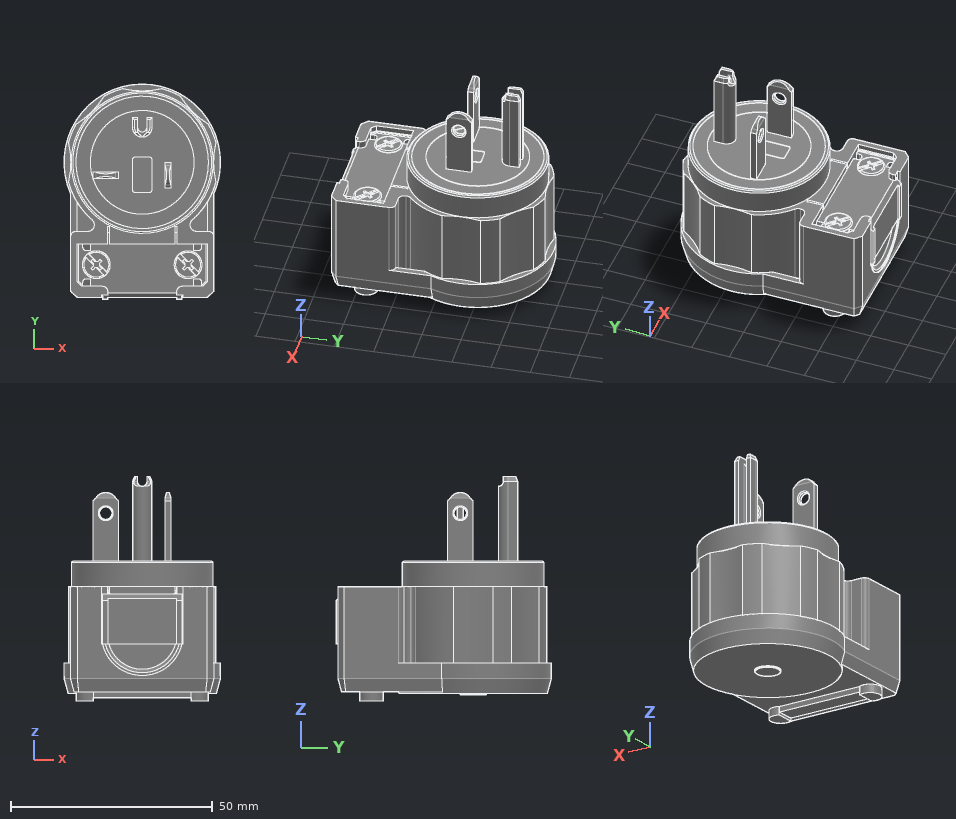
import cadquery as cq
import math

pad_recess_z = 0.8
round_bottom_z = 1.86
box_bottom_z = 2.28
bevel_z = 5.57
base_top_z = 9.5
clamp_z = 26.6
body_top_z = 28.45
cap_top_z = 34.83
hole_z = 46.7
shoulder_z = 50.5
blade_top_z = 51.86
pin_top_z = 55.83

overall_length = 53.55
base_diameter = 38.93
base_radius = base_diameter / 2
body_radius = 18.97
scallop_half_angle = 15
scallop_floor_radius = 17.75
scallop_angles = (0, 45, 90, 135, 180)
base_taper = 15

cap_diameter = 35.31
cap_edge = 0.4
rim_diameter = 32.92
face_radius = 12.9
face_step = 0.15
label_width = 4.8
label_length = 8.8
label_y = -3.1
label_radius = 0.6
label_depth = 0.15

box_half_width = 17.83
box_front_y = -33.63
box_back_y = -17.15
corner_width = 1.7
corner_depth = 1.55
box_back_radius = 1.4
neck_half_width = 11.9
notch_radius = 1.58
notch_lip_x = 16.25
notch_floor_z = bevel_z

pocket_half_width = 16.25
pocket_back_y = -20.25
pocket_front_y = -30.8
pocket_ledge_width = 0.45
pocket_ledge_height = 0.4
pocket_corner = 1.2
mouth_half_width = 8.55
mouth_radius = 1.4

rib_outer_x = 9.85
rib_front_y = base_radius - overall_length
plate_bevel = 1.15
plate_top_z = clamp_z - plate_bevel
plate_bottom_z = 14.2
arch_z = 16.5
arch_outer_radius = 10.15
arch_rim_width = 0.4
arch_rim_depth = 0.25
arch_depth = 1.0
arch_flare = 49
mouth_step = 0.65

screw_x = 11.4
screw_y = -25.45
screw_diameter = 6.9
screw_height = 0.45
screw_seat_depth = 1.0
screw_edge = 0.35
screw_slot_width = 1.1
screw_slot_depth = 0.4
cross_length = 3.2
cross_width = 0.6
cross_center_size = 1.5
cross_depth = 1.2
cross_angle = 45

ear_half_width = 3.5
pit_inner_x = 12.8
pit_outer_x = 14.8
pit_depth = 3.0
pit_radius = 0.9

groove_inner_x = 8.1
groove_outer_x = 8.65
groove_back_y = -16.0
groove_step_y = -17.4
groove_depth = 1.0

blade_width = 6.4
blade_thickness = 1.52
blade_y = -3.2
neutral_x = -9.07
hot_x = 6.4
blade_hole = 3.05
blade_countersink = 3.68
blade_shoulder = 0.75
tip_thickness = 0.7

pin_diameter = 4.83
pin_y = 8.69
pin_bore = 2.3
pin_tip_height = 1.2
pin_tip_inset = 0.5
pin_notch_radius = 1.2
pin_web_top_z = 53.4

boss_diameter = 6.66
boss_drop = 0.35
boss_edge = 0.175
foot_y = -25.3
foot_width = 5.9
foot_end_x = 16.43
foot_inner_x = 12.15
foot_plate_width = 5.0


def block(x0, x1, y0, y1, z0, z1):
    """Box between two opposite corners."""
    return cq.Workplane("XY").box(x1 - x0, y1 - y0, z1 - z0, centered=False).translate((x0, y0, z0))


def disc(radius, z0, z1, x=0, y=0):
    """Upright cylinder."""
    return cq.Workplane("XY").circle(radius).extrude(z1 - z0).translate((x, y, z0))


def mirrored(shape):
    """The shape together with its mirror image across the YZ plane."""
    return shape.union(shape.mirror("YZ"))


def box_outline(plane_z):
    """Rectangular cable box plan with two bevelled front corners."""
    edge = box_half_width - corner_width
    shoulder_y = box_front_y + corner_depth
    return cq.Workplane("XY", origin=(0, 0, plane_z)).polyline([
        (-box_half_width, 0),
        (-box_half_width, shoulder_y),
        (-edge, box_front_y),
        (edge, box_front_y),
        (box_half_width, shoulder_y),
        (box_half_width, 0),
    ]).close()


def make_base():
    """Round base and cable box footing, both tapered underneath."""
    height = base_top_z - bevel_z
    ring = disc(base_radius, bevel_z, base_top_z)
    ring_bevel = (
        cq.Workplane("XY", origin=(0, 0, bevel_z))
        .circle(base_radius)
        .extrude(round_bottom_z - bevel_z, taper=base_taper)
    )
    footing = box_outline(bevel_z).extrude(height)
    footing_bevel = box_outline(bevel_z).extrude(box_bottom_z - bevel_z, taper=base_taper)
    return ring.union(ring_bevel).union(footing).union(footing_bevel)


def make_scallops():
    """Shallow concave finger grips around the back of the round body."""
    half = math.radians(scallop_half_angle)
    chord = body_radius * math.sin(half)
    chord_x = body_radius * math.cos(half)
    outside = base_radius
    grip = (
        cq.Workplane("XY", origin=(0, 0, base_top_z))
        .moveTo(chord_x, -chord)
        .threePointArc((scallop_floor_radius, 0), (chord_x, chord))
        .lineTo(outside, chord)
        .lineTo(outside, -chord)
        .close()
        .extrude(body_top_z - base_top_z)
    )
    grips = cq.Workplane("XY")
    for angle in scallop_angles:
        grips = grips.add(grip.rotate((0, 0, 0), (0, 0, 1), angle))
    return grips.combine()


def make_body():
    """Scalloped round body joined to the full-height cable box by a neck."""
    height = body_top_z - base_top_z
    barrel = disc(body_radius, base_top_z, body_top_z).cut(make_scallops())
    front = (
        box_outline(base_top_z)
        .extrude(height)
        .intersect(block(-box_half_width, box_half_width, box_front_y, box_back_y, base_top_z, body_top_z))
        .edges("|Z and >Y")
        .fillet(box_back_radius)
    )
    neck = block(-neck_half_width, neck_half_width, box_back_y, 0, base_top_z, body_top_z)
    body = barrel.union(front).union(neck)
    barrel_y = -math.sqrt(body_radius ** 2 - neck_half_width ** 2)
    reach = 0.2
    corners = cq.selectors.BoxSelector(
        (-neck_half_width - reach, box_back_y - reach, base_top_z - reach),
        (neck_half_width + reach, barrel_y + reach, body_top_z + reach),
    )
    return body.edges("|Z").edges(corners).fillet(notch_radius)


def cut_notch_floors(base, body):
    """Sink the ledge behind the cable box, leaving a narrow lip along each side."""
    strip = block(-notch_lip_x, -neck_half_width, box_back_y, -body_radius / 2, notch_floor_z, base_top_z)
    plan = body.translate((0, 0, notch_floor_z - base_top_z))
    return base.cut(mirrored(strip).cut(plan))


def make_cap():
    """Round front cap with a bevelled edge and stepped face."""
    cap = disc(cap_diameter / 2, body_top_z, cap_top_z).faces(">Z").chamfer(cap_edge)
    step = disc(rim_diameter / 2, cap_top_z - face_step, cap_top_z).cut(
        disc(face_radius, cap_top_z - face_step, cap_top_z)
    )
    label = (
        cq.Workplane("XY", origin=(0, label_y, cap_top_z - label_depth))
        .rect(label_width, label_length)
        .extrude(label_depth)
        .edges("|Z")
        .fillet(label_radius)
    )
    return cap.cut(step).cut(label)


def make_pocket():
    """Open pocket above the clamp together with its mouth through the front wall."""
    ledge_z = clamp_z + pocket_ledge_height

    def well(half_width, bottom_z):
        blank = block(-half_width, half_width, pocket_front_y, pocket_back_y, bottom_z, body_top_z)
        return blank.edges("|Z and <Y").chamfer(pocket_corner)

    cavity = well(pocket_half_width, ledge_z).union(well(pocket_half_width - pocket_ledge_width, clamp_z))
    mouth = block(-mouth_half_width, mouth_half_width, box_front_y, pocket_front_y, clamp_z, body_top_z)
    reach = 0.1
    lips = cq.selectors.BoxSelector(
        (-mouth_half_width - reach, pocket_front_y - reach, clamp_z - reach),
        (mouth_half_width + reach, pocket_front_y + reach, body_top_z + reach),
    )
    opening = cavity.union(mouth).edges("|Z").edges(lips).fillet(mouth_radius)
    widening = block(-rib_outer_x, rib_outer_x, box_front_y, box_front_y + mouth_step, clamp_z, body_top_z)
    return opening.union(widening)


def make_pits():
    """Steep-sided pits in front of and behind each screw."""
    ear_back = screw_y + ear_half_width
    ear_front = screw_y - ear_half_width

    def pit(y0, y1, rounded_edge):
        blank = block(-pit_outer_x, -pit_inner_x, y0, y1, clamp_z - pit_depth, clamp_z)
        blank = blank.edges("|Z and <X").edges(rounded_edge).fillet(pit_radius)
        ramp = (
            cq.Workplane("XZ", origin=(0, y1, 0))
            .polyline([
                (-pit_inner_x, clamp_z),
                (-pit_outer_x, clamp_z - pit_depth),
                (-pit_inner_x, clamp_z - pit_depth),
            ])
            .close()
            .extrude(y1 - y0)
        )
        return blank.cut(ramp)

    back = pit(ear_back, pocket_back_y, "<Y")
    front = pit(pocket_front_y, ear_front, ">Y")
    return mirrored(back.union(front))


def make_grooves():
    """Narrow grooves running from the pocket back towards the cap."""
    shallow = block(groove_inner_x, groove_outer_x, pocket_back_y, groove_back_y,
                    body_top_z - groove_depth, body_top_z)
    deep = block(groove_inner_x, groove_outer_x, pocket_back_y, groove_step_y, clamp_z, body_top_z)
    return mirrored(shallow.union(deep))


def make_screw(x):
    """Clamp screw head with a diagonal slot and a cross recess."""
    top = clamp_z + screw_height
    seat_z = clamp_z - screw_seat_depth
    head = disc(screw_diameter / 2, seat_z, top, x, screw_y).faces(">Z").chamfer(screw_edge)

    def slot(length, width, depth, angle):
        return (
            block(-length / 2, length / 2, -width / 2, width / 2, top - depth, top)
            .rotate((0, 0, 0), (0, 0, 1), angle)
            .translate((x, screw_y, 0))
        )

    head = head.cut(slot(screw_diameter, screw_slot_width, screw_slot_depth, -cross_angle))
    for angle in (-cross_angle, cross_angle):
        head = head.cut(slot(cross_length, cross_width, cross_depth, angle))
    return head.cut(slot(cross_center_size, cross_center_size, cross_depth, 0))


def make_front_relief():
    """Flared arch below the clamp plate, with a narrow gap up each side of it."""
    center = cq.Workplane("XZ", origin=(0, box_front_y, arch_z))
    flare = center.circle(arch_outer_radius - arch_rim_width).extrude(-arch_depth, taper=arch_flare)
    rim = center.circle(arch_outer_radius).extrude(-arch_rim_depth)
    below_plate = block(-arch_outer_radius, arch_outer_radius, box_front_y, 0, 0, plate_bottom_z)
    gap_back_y = box_front_y + mouth_step
    gap = block(rib_outer_x, arch_outer_radius, box_front_y, gap_back_y, plate_bottom_z, body_top_z)
    return flare.union(rim).intersect(below_plate).union(mirrored(gap))


def make_ribs():
    """Low upright ribs along both sides of the clamp plate."""
    return mirrored(
        block(mouth_half_width, rib_outer_x, rib_front_y, box_front_y + mouth_step, plate_bottom_z, clamp_z)
    )


def make_plate_bevel():
    """Sloping cut along the top front edge of the clamp plate and ribs."""
    rib_height = box_front_y - rib_front_y
    return (
        cq.Workplane("YZ", origin=(-rib_outer_x, 0, 0))
        .polyline([
            (rib_front_y, plate_top_z - rib_height),
            (rib_front_y, clamp_z),
            (box_front_y + plate_bevel, clamp_z),
        ])
        .close()
        .extrude(2 * rib_outer_x)
    )


def make_blade():
    """Flat blade standing on the cap, width along X, with a domed and thinned tip."""
    half = blade_width / 2
    dome_half = half - blade_shoulder
    blade = (
        cq.Workplane("XZ", origin=(0, blade_thickness / 2, 0))
        .moveTo(-half, body_top_z)
        .lineTo(-half, shoulder_z - blade_shoulder)
        .lineTo(-dome_half, shoulder_z)
        .threePointArc((0, blade_top_z), (dome_half, shoulder_z))
        .lineTo(half, shoulder_z - blade_shoulder)
        .lineTo(half, body_top_z)
        .close()
        .extrude(blade_thickness)
    )
    edge_profile = (
        cq.Workplane("YZ", origin=(-half, 0, 0))
        .polyline([
            (-blade_thickness / 2, body_top_z),
            (-blade_thickness / 2, shoulder_z),
            (-tip_thickness / 2, blade_top_z),
            (tip_thickness / 2, blade_top_z),
            (blade_thickness / 2, shoulder_z),
            (blade_thickness / 2, body_top_z),
        ])
        .close()
        .extrude(blade_width)
    )
    bore = (
        cq.Workplane("XZ", origin=(0, blade_thickness, hole_z))
        .circle(blade_hole / 2)
        .extrude(2 * blade_thickness)
    )
    blade = blade.intersect(edge_profile).cut(bore)
    rim = (blade_countersink - blade_hole) / 2
    return blade.edges("%CIRCLE").edges(cq.selectors.RadiusNthSelector(0)).chamfer(rim)


def make_ground_pin():
    """U-shaped ground pin, open towards +Y, with tapered prongs."""
    radius = pin_diameter / 2
    back_y = pin_y + radius
    bore_radius = pin_bore / 2

    def u_plan(size, bottom_z):
        round_side = disc(size, bottom_z, pin_top_z, 0, pin_y)
        return round_side.union(block(-size, size, pin_y, back_y, bottom_z, pin_top_z))

    tips = u_plan(radius, body_top_z).faces(">Z").edges().chamfer(pin_tip_height, pin_tip_inset)
    bore = u_plan(bore_radius, cap_top_z)
    web_y = pin_y - radius
    relief = (
        cq.Workplane("YZ", origin=(-radius, 0, 0))
        .moveTo(web_y, pin_web_top_z)
        .radiusArc((web_y + pin_notch_radius, pin_web_top_z + pin_notch_radius), -pin_notch_radius)
        .lineTo(web_y + pin_notch_radius, pin_top_z)
        .lineTo(web_y, pin_top_z)
        .close()
        .extrude(pin_diameter)
    )
    slot_z = pin_web_top_z + bore_radius
    slot = (
        cq.Workplane("XZ", origin=(0, pin_y, slot_z))
        .circle(bore_radius)
        .extrude(pin_diameter)
        .union(block(-bore_radius, bore_radius, web_y, pin_y, slot_z, pin_top_z))
    )
    return tips.cut(bore).cut(relief).cut(slot)


def make_underside():
    """Round boss under the base, and two feet joined by a recessed plate."""
    boss = disc(boss_diameter / 2, round_bottom_z - boss_drop, bevel_z).faces("<Z").chamfer(boss_edge)
    half = foot_width / 2
    foot = disc(half, 0, bevel_z, foot_end_x - half, foot_y)
    foot = foot.intersect(block(foot_inner_x, foot_end_x, foot_y - half, foot_y + half, 0, bevel_z))
    plate = block(-foot_inner_x, foot_inner_x, foot_y - foot_plate_width / 2, foot_y + foot_plate_width / 2,
                  pad_recess_z, bevel_z)
    return boss.union(mirrored(foot)).union(plate)


body = make_body()
part = cut_notch_floors(make_base(), body).union(body)
part = part.cut(make_pocket()).cut(make_pits()).cut(make_grooves())
part = part.cut(make_front_relief()).union(make_ribs()).cut(make_plate_bevel())
part = part.union(make_cap()).union(make_underside())
for side in (-screw_x, screw_x):
    part = part.union(make_screw(side))

blade = make_blade()
neutral = blade.translate((neutral_x, blade_y, 0))
hot = blade.rotate((0, 0, 0), (0, 0, 1), 90).translate((hot_x, blade_y, 0))
result = part.union(neutral).union(hot).union(make_ground_pin())